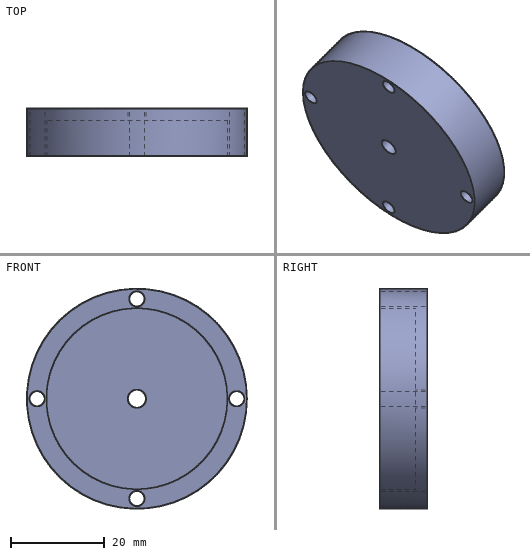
import cadquery as cq

outer_diameter = 47.0
height = 10.15
pocket_diameter = 38.63
pocket_depth = 7.6
center_hole_diameter = 3.8
rim_hole_diameter = 3.2
rim_hole_circle_diameter = 42.55
rim_hole_count = 4


def cylinder_from_open_face(diameter, length):
    """Cylinder on the Y axis, running from the open face toward +Y."""
    return cq.Workplane("XZ").circle(diameter / 2).extrude(-length)


body = cylinder_from_open_face(outer_diameter, height)
pocket = cylinder_from_open_face(pocket_diameter, pocket_depth)

center_hole = cylinder_from_open_face(center_hole_diameter, height)

rim_holes = (
    cq.Workplane("XZ")
    .polarArray(rim_hole_circle_diameter / 2, 0, 360, rim_hole_count)
    .circle(rim_hole_diameter / 2)
    .extrude(-height)
)

result = body.cut(pocket).cut(center_hole).cut(rim_holes)